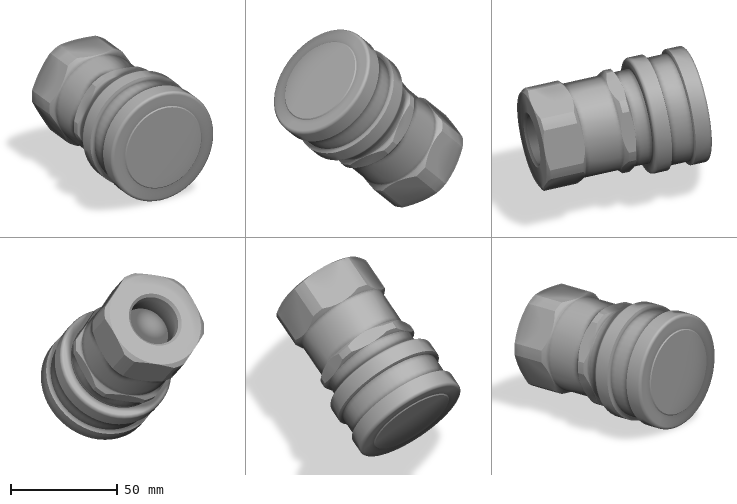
import cadquery as cq
import math

sleeve_radius = 22.8
lip_radius = 22.9
collar_radius = 28.0
groove_radius = 26.0
collar_round = 1.45
tail_radius = 21.0

hex_apothem = 23.0
hex_corner_radius = 25.0
hex_chamfer_height = hex_corner_radius - lip_radius
steep_chamfer_length = hex_chamfer_height * math.tan(math.radians(30))
slope_length = hex_chamfer_height

nut_end = 19.8
sleeve_start = 20.25
sleeve_end = 37.6
hex_ring_start = 38.0
hex_ring_end = 44.7
neck_start = 45.4
neck_end = 51.35
shoulder_start = 51.8
collar_start = 52.4
groove_start = 60.5
groove_end = 72.25
groove_wall_run = 0.6
collar_end = 80.5
overall_length = 81.0
tail_chamfer = overall_length - collar_end

bore_radius = 12.0
bore_mouth_radius = 13.3
bore_depth = 15.0
bore_chamfer = bore_mouth_radius - bore_radius


def turned_body():
    """Revolve the outer profile, leaving both wrench sections round."""
    round_middle = collar_round * math.sqrt(0.5)
    front_round_x = collar_start + collar_round
    rear_round_x = collar_end - collar_round
    round_center_radius = collar_radius - collar_round
    profile = (
        cq.Workplane("XY")
        .moveTo(0, 0)
        .lineTo(0, lip_radius)
        .lineTo(steep_chamfer_length, hex_corner_radius)
        .lineTo(nut_end - slope_length, hex_corner_radius)
        .lineTo(nut_end, lip_radius)
        .lineTo(sleeve_start, sleeve_radius)
        .lineTo(sleeve_end, sleeve_radius)
        .lineTo(hex_ring_start, lip_radius)
        .lineTo(hex_ring_start + slope_length, hex_corner_radius)
        .lineTo(hex_ring_end - steep_chamfer_length, hex_corner_radius)
        .lineTo(hex_ring_end, lip_radius)
        .lineTo(neck_start, sleeve_radius)
        .lineTo(neck_end, sleeve_radius)
        .lineTo(shoulder_start, lip_radius)
        .lineTo(collar_start, lip_radius)
        .lineTo(collar_start, round_center_radius)
        .threePointArc(
            (front_round_x - round_middle, round_center_radius + round_middle),
            (front_round_x, collar_radius),
        )
        .lineTo(groove_start, collar_radius)
        .lineTo(groove_start + groove_wall_run, groove_radius)
        .lineTo(groove_end - groove_wall_run, groove_radius)
        .lineTo(groove_end, collar_radius)
        .lineTo(rear_round_x, collar_radius)
        .threePointArc(
            (rear_round_x + round_middle, round_center_radius + round_middle),
            (collar_end, round_center_radius),
        )
        .lineTo(collar_end, tail_radius)
        .lineTo(overall_length, tail_radius - tail_chamfer)
        .lineTo(overall_length, 0)
        .close()
    )
    return profile.revolve(360, (0, 0, 0), (1, 0, 0))


def material_outside_hex(start, end):
    """Ring between the hexagon, with corners on Y, and the collar radius."""
    hex_corner_diameter = 2 * hex_apothem / math.cos(math.radians(30))
    return (
        cq.Workplane("YZ", origin=(start, 0, 0))
        .circle(collar_radius)
        .polygon(6, hex_corner_diameter)
        .extrude(end - start)
    )


def bore():
    """Flat-bottomed bore with a 45 degree chamfer at its mouth."""
    return (
        cq.Workplane("XY")
        .moveTo(0, 0)
        .lineTo(0, bore_mouth_radius)
        .lineTo(bore_chamfer, bore_radius)
        .lineTo(bore_depth, bore_radius)
        .lineTo(bore_depth, 0)
        .close()
        .revolve(360, (0, 0, 0), (1, 0, 0))
    )


result = turned_body()
for section_start, section_end in ((0, nut_end), (hex_ring_start, hex_ring_end)):
    result = result.cut(material_outside_hex(section_start, section_end))
result = result.cut(bore())